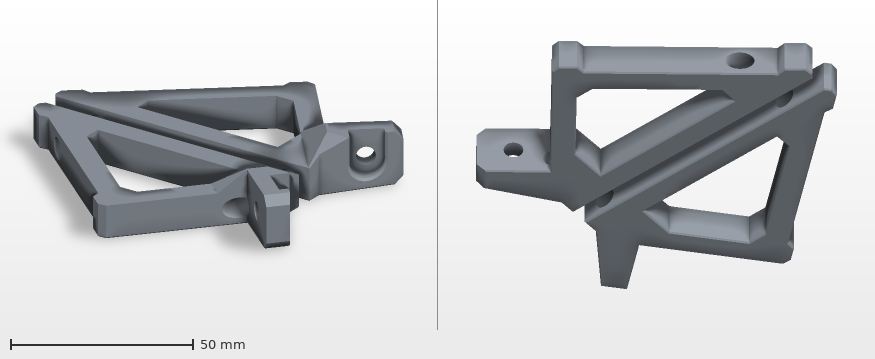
import cadquery as cq
import math


PLATE_HEIGHT = 9.9
TOTAL_HEIGHT = 16.0
DIAGONAL_ANGLE = 40.0
FRAME_LENGTH = 71.5
HEEL_HEIGHT = 2.0
APEX_X = -6.5
BAR_WIDTH = 6.9
BASE_CHAMFER = 0.4

FOOT_DEPTH = 2.0
FOOT_BEVEL = 1.9
LEFT_FOOT_WIDTH = 9.5
RIGHT_FOOT_WIDTH = 8.8

WINDOW_LEFT_BEVEL_X = -46.6
WINDOW_RIGHT_BEVEL_X = -11.3
WINDOW_TOP_BEVEL_Y = 32.9

TAB_FRONT = 40.0
TAB_LENGTH = 20.2
TAB_END_THICKNESS = 6.7
TAB_BACK_SLOPE = 14.5
TAB_BEVEL = 2.6
TAB_HOLE_DIAMETER = 5.4
TAB_HOLE_X = 10.0
HEAD_SLOT_RADIUS = 5.0
HEAD_SLOT_FLOOR = 5.0
SLOT_LIP = 0.7
RELIEF_WIDTH = 0.7
RELIEF_DEPTH = 0.1

GUSSET_START_Y = 31.5
INNER_RUN = 6.1
DIAGONAL_RUN = 11.7

JOINING_HOLE_POSITIONS = (-39.5, 24.1)
JOINING_HOLE_DIAMETER = 6.1

BRACKET_GAP = 5.0
REACH = 147.6

COS = math.cos(math.radians(DIAGONAL_ANGLE))
SIN = math.sin(math.radians(DIAGONAL_ANGLE))
TAN = SIN / COS
RISE = TOTAL_HEIGHT - PLATE_HEIGHT
DIAGONAL_OFFSET = FRAME_LENGTH * SIN + HEEL_HEIGHT * COS


def diagonal_y(x, inset=0.0):
    """Height of the diagonal side, or of a line inset from it, at x."""
    return (DIAGONAL_OFFSET - inset) / COS + x * TAN


def tab_back_y(x):
    """Position of the slanted back of the tab at x."""
    return TAB_FRONT + TAB_END_THICKNESS + (TAB_LENGTH - x) * math.tan(math.radians(TAB_BACK_SLOPE))


def outline():
    """Outer outline of the frame with its feet and tab."""
    apex_y = diagonal_y(APEX_X)
    back_slope = math.tan(math.radians(TAB_BACK_SLOPE))
    shoulder_x = APEX_X + (apex_y - tab_back_y(APEX_X)) / (1 / TAN - back_slope)
    left = -FRAME_LENGTH
    left_foot_end = left + LEFT_FOOT_WIDTH
    points = [
        (left, HEEL_HEIGHT),
        (left, FOOT_BEVEL - FOOT_DEPTH),
        (left + FOOT_BEVEL, -FOOT_DEPTH),
        (left_foot_end - FOOT_BEVEL, -FOOT_DEPTH),
        (left_foot_end, 0),
        (-RIGHT_FOOT_WIDTH, 0),
        (FOOT_BEVEL - RIGHT_FOOT_WIDTH, -FOOT_DEPTH),
        (-FOOT_BEVEL, -FOOT_DEPTH),
        (0, FOOT_BEVEL - FOOT_DEPTH),
        (0, TAB_FRONT),
        (TAB_LENGTH, TAB_FRONT),
        (TAB_LENGTH, tab_back_y(TAB_LENGTH)),
        (shoulder_x, tab_back_y(shoulder_x)),
        (APEX_X, apex_y),
    ]
    return cq.Workplane("XY").polyline(points).close()


def window():
    """Triangular opening with cut corners; the bevels run along or square to the diagonal."""
    right = -BAR_WIDTH
    right_bevel_y = BAR_WIDTH + (right - WINDOW_RIGHT_BEVEL_X) * TAN

    def bevel_meets_diagonal(x, y):
        step = (diagonal_y(x, BAR_WIDTH) - y) * SIN * COS
        return (x - step, y + step / TAN)

    points = [
        (WINDOW_LEFT_BEVEL_X, BAR_WIDTH),
        (WINDOW_RIGHT_BEVEL_X, BAR_WIDTH),
        (right, right_bevel_y),
        (right, WINDOW_TOP_BEVEL_Y),
        bevel_meets_diagonal(right, WINDOW_TOP_BEVEL_Y),
        bevel_meets_diagonal(WINDOW_LEFT_BEVEL_X, BAR_WIDTH),
    ]
    return cq.Workplane("XY").polyline(points).close().extrude(PLATE_HEIGHT)


def above_slope(foot_x, foot_y, rise_x, rise_y, run):
    """Space above a slope that rises from plate height along the unit direction (rise_x, rise_y)."""
    slope = cq.Plane(
        origin=(foot_x, foot_y, PLATE_HEIGHT),
        xDir=(-rise_y, rise_x, 0),
        normal=(-rise_x * RISE, -rise_y * RISE, run),
    )
    return cq.Workplane(slope).rect(2 * REACH, 2 * REACH).extrude(REACH)


def raised_part():
    """Gusset and upper tab, standing on the plate."""
    raised = outline().extrude(RISE).translate((0, 0, PLATE_HEIGHT))
    raised = raised.cut(above_slope(-BAR_WIDTH, 0, 1, 0, INNER_RUN))
    raised = raised.cut(above_slope(0, GUSSET_START_Y, 0, 1, TAB_FRONT - GUSSET_START_Y))
    return raised.cut(above_slope(0, diagonal_y(0), SIN, -COS, DIAGONAL_RUN))


def joining_holes():
    """Holes that run square to the diagonal side, right through the frame."""
    holes = cq.Workplane("XY")
    for along in JOINING_HOLE_POSITIONS:
        axis = cq.Plane(
            origin=(
                along * COS - DIAGONAL_OFFSET * SIN,
                along * SIN + DIAGONAL_OFFSET * COS,
                PLATE_HEIGHT / 2,
            ),
            xDir=(COS, SIN, 0),
            normal=(SIN, -COS, 0),
        )
        holes = holes.add(cq.Workplane(axis).circle(JOINING_HOLE_DIAMETER / 2).extrude(REACH))
    return holes


def head_slot():
    """Round-bottomed slot for the tab screw head, open upward and to the back."""
    middle = TOTAL_HEIGHT / 2
    return (
        cq.Workplane("XZ", origin=(TAB_HOLE_X, TAB_FRONT + HEAD_SLOT_FLOOR, 0))
        .moveTo(-HEAD_SLOT_RADIUS, TOTAL_HEIGHT)
        .lineTo(-HEAD_SLOT_RADIUS, middle)
        .threePointArc((0, middle - HEAD_SLOT_RADIUS), (HEAD_SLOT_RADIUS, middle))
        .lineTo(HEAD_SLOT_RADIUS, TOTAL_HEIGHT)
        .close()
        .extrude(-REACH)
    )


def slot_lip():
    """Flared rim of the head slot: a loft between two outlines parallel to the slanted tab back."""
    tilt = math.radians(TAB_BACK_SLOPE)
    back_y = tab_back_y(TAB_HOLE_X)

    def rim(outward, growth):
        radius = HEAD_SLOT_RADIUS + growth
        half_width = radius / math.cos(tilt)
        plane = cq.Plane(
            origin=(TAB_HOLE_X, back_y + outward / math.cos(tilt), TOTAL_HEIGHT / 2),
            xDir=(-math.cos(tilt), math.sin(tilt), 0),
            normal=(math.sin(tilt), math.cos(tilt), 0),
        )
        return (
            cq.Workplane(plane)
            .moveTo(half_width, 0)
            .lineTo(half_width, TOTAL_HEIGHT)
            .lineTo(-half_width, TOTAL_HEIGHT)
            .lineTo(-half_width, 0)
            .ellipseArc(half_width, radius, 180, 360, startAtCurrent=True)
            .close()
            .val()
        )

    rims = [rim(-SLOT_LIP, 0), rim(SLOT_LIP, 2 * SLOT_LIP)]
    return cq.Workplane(cq.Solid.makeLoft(rims, True))


def tab_corners():
    """Wedges cut from the upper and lower end corners of the tab."""
    end = cq.Workplane("XZ", origin=(TAB_LENGTH, 0, 0))
    lower = end.polyline([(0, 0), (-TAB_BEVEL, 0), (0, TAB_BEVEL)]).close().extrude(-REACH)
    return lower.union(lower.mirror("XY", (0, 0, TOTAL_HEIGHT / 2)))


def corner_relief():
    """Shallow notch in the tab front beside the upright."""
    points = [(0, TAB_FRONT), (RELIEF_WIDTH, TAB_FRONT), (RELIEF_WIDTH, TAB_FRONT + RELIEF_DEPTH)]
    return cq.Workplane("XY").polyline(points).close().extrude(TOTAL_HEIGHT)


def tab_hole():
    """Screw hole through the tab."""
    axis = cq.Workplane("XZ", origin=(TAB_HOLE_X, 0, TOTAL_HEIGHT / 2))
    return axis.circle(TAB_HOLE_DIAMETER / 2).extrude(-REACH)


def bracket():
    """One bracket: frame, gusset and tab in a single solid."""
    plate = outline().extrude(PLATE_HEIGHT).cut(window())
    body = plate.faces("<Z").chamfer(BASE_CHAMFER).union(raised_part())
    body = body.cut(tab_corners()).cut(corner_relief())
    body = body.cut(tab_hole()).cut(head_slot()).cut(slot_lip())
    for hole in joining_holes().vals():
        body = body.cut(cq.Workplane(hole))
    return body.solids()


right_bracket = bracket()
middle_offset = DIAGONAL_OFFSET + BRACKET_GAP / 2
middle_point = (-middle_offset * SIN, middle_offset * COS, 0)
left_bracket = right_bracket.mirror(cq.Vector(-SIN, COS, 0), middle_point).solids()

result = cq.Compound.makeCompound([right_bracket.val(), left_bracket.val()])